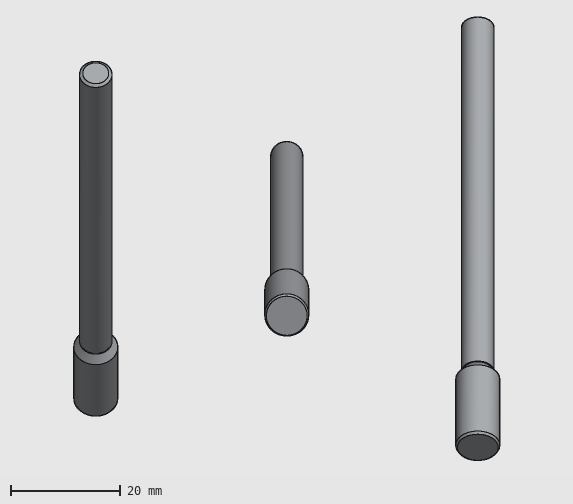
import cadquery as cq
import math

total_length = 101.0
head_diameter = 8.1
shank_diameter = 6.0

shoulder_base_height = 16.4
shoulder_height = 1.8
shoulder_top_diameter = 5.6
rim_bevel_width = 0.3
rim_bevel_height = 0.5

top_bevel_width = 0.6
top_bevel_angle = math.radians(30)

head_radius = head_diameter / 2
shank_radius = shank_diameter / 2
shoulder_top_radius = shoulder_top_diameter / 2
head_height = shoulder_base_height + shoulder_height
top_bevel_height = top_bevel_width * math.tan(top_bevel_angle)


def revolve_about_z(profile):
    """Turn a closed (radius, height) profile fully around the Z axis."""
    return cq.Workplane("XZ").polyline(profile).close().revolve(360, (0, 0), (0, 1))


def make_head():
    """Head standing on Z = 0, its shoulder ending slightly narrower than the shank."""
    return revolve_about_z([
        (0, 0),
        (head_radius - rim_bevel_width, 0),
        (head_radius, rim_bevel_height),
        (head_radius, shoulder_base_height),
        (shoulder_top_radius, head_height),
        (0, head_height),
    ])


def make_shank():
    """Shank standing on the head and ending in a beveled tip."""
    return revolve_about_z([
        (0, head_height),
        (shank_radius, head_height),
        (shank_radius, total_length - top_bevel_height),
        (shank_radius - top_bevel_width, total_length),
        (0, total_length),
    ])


head = make_head()
shank = make_shank()

result = cq.Compound.makeCompound([head.val(), shank.val()])